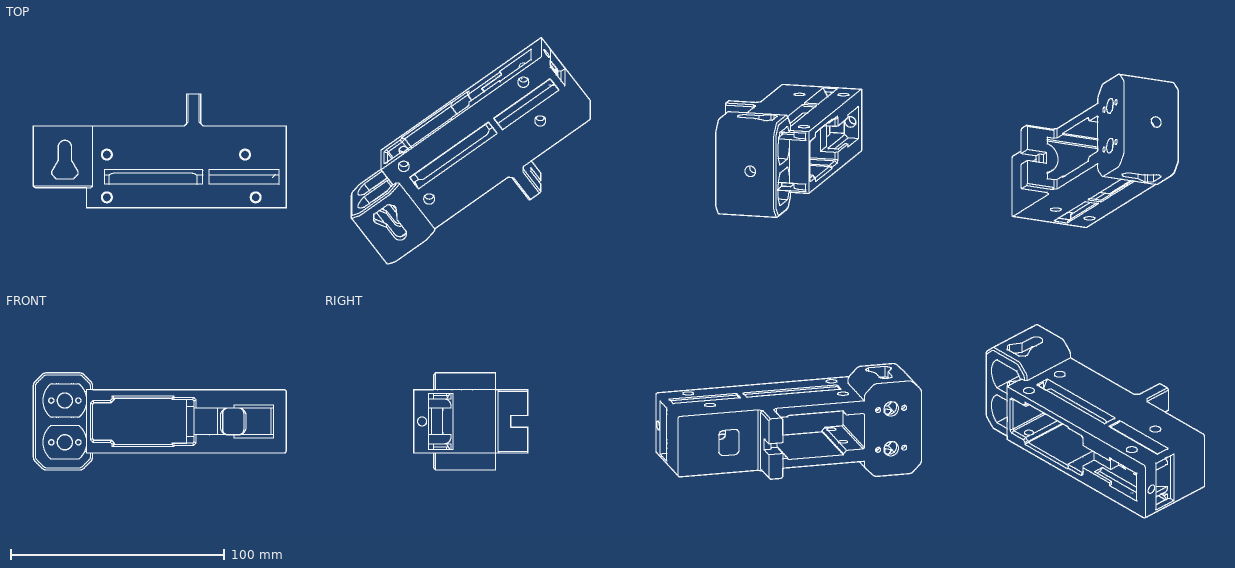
import cadquery as cq
import math


length = 118.8
body_left = 24.9
body_depth = 38.5
body_height = 29.8
body_half = body_height / 2
end_round = 1.1
housing_width = 27.9
housing_height = 45.7
housing_depth = 29.1
housing_corner = 5.0
housing_corner_round = 3.0
housing_rim_inset = 0.8
housing_rim_depth = 1.1

cell_x = 14.8
cell_radius = 20.5 / 2
cell_height = 15.7
cell_gap = 3.9
cell_z = (cell_height + cell_gap) / 2
cell_floor = 3.0
terminal_diameter = 7.0
pin_diameter = 2.4
pin_spacing = 12.7
keyhole_radius = 3.1
keyhole_top = -6.8
keyhole_neck = -16.2
keyhole_head = 6.0
keyhole_shoulder = -21.3
keyhole_heel = -22.7
keyhole_foot = 4.0
keyhole_bottom = -24.8

insert_mouth_radius = 5.1 / 2
insert_tip_radius = 4.2 / 2
insert_depth = 6.6
insert_places = [(34.5, -13.4), (34.5, -33.5), (99.4, -13.4), (104.4, -33.5)]
side_hole_y = -16.9
lip_hole_y = -34.5

tang_left = 71.8
tang_right = 78.7
tang_reach = 15.1
tang_edge = 0.8
tang_flare = 1.1
tang_notch = 5.3
tang_notch_start = 7.1
tang_step_start = 5.0
boss_radius = 7.2
boss_y = 6.3

opening_left = 27.9
opening_right = 75.4
left_half = 17.5 / 2
middle_half = 10.8
right_half = 10.2
middle_start = 38.1
middle_end = 65.1
opening_bevel = 1.5
opening_corner = 0.6
mouth_chamfer = 1.1
opening_back = 4.6

ledge_y = -30.2
pocket_left = 86.6
pocket_right = 112.7
pocket_half = 12.5 / 2
pocket_back = -24.9
mouth_left = 94.3
groove_left = 82.6
groove_half = 7.7
groove_back = -31.8
groove_ramp = 1.7
front_lip = 1.5
back_hole_left = 89.0
back_hole_right = 98.8
back_hole_round = 2.4
back_hole_chamfer = 1.1

web_end = 115.4
window_back = -20.4
window_front = -27.3
window_spans = [(33.5, 79.5), (82.5, web_end)]
window_lean = math.radians(31)
channel_left = 24.2
channel_lid = 0.8
channel_height = 3.6
channel_roof = body_half - channel_lid
channel_floor = channel_roof - channel_height
channel_front = -29.1
entry_front = front_lip - body_depth
entry_back = -23.0
entry_wall = 28.5
entry_round = 4.9
saddle_left = 38.4
saddle_right = 74.0
saddle_top = 12.1
saddle_round = 3.0
web_round = 3.1
exit_start = 111.5
exit_flare = 5.0
exit_front = -31.5
exit_half = 13.1


def box(x0, x1, y0, y1, z0, z1):
    return cq.Workplane("XY").box(x1 - x0, y1 - y0, z1 - z0, centered=False).translate((x0, y0, z0))


def front_plane(y):
    """Plane at depth y for outlines drawn in X and Z."""
    return cq.Workplane("XZ", origin=(0, y, 0))


def extrude_back(outline, depth):
    """Extrude an XZ outline toward +Y."""
    return outline.extrude(-depth)


def both_sides(shape):
    """The shape together with its mirror image below Z = 0."""
    return shape.union(shape.mirror("XY"))


def tapered_hole(base, direction):
    """Cone frustum for a heat-set insert, entering at base along direction."""
    cone = cq.Solid.makeCone(
        insert_mouth_radius, insert_tip_radius, insert_depth, cq.Vector(*base), cq.Vector(*direction)
    )
    return cq.Workplane(obj=cone)


def make_housing():
    block = box(0, housing_width, -housing_depth, 0, -housing_height / 2, housing_height / 2)
    block = block.edges("|Y").chamfer(housing_corner)
    block = block.edges("|Y").fillet(housing_corner_round)
    return block.faces("<Y").chamfer(housing_rim_depth, housing_rim_inset)


def make_body():
    block = box(body_left, length, -body_depth, 0, -body_half, body_half)
    return block.edges("|Y and >X").fillet(end_round)


def make_tang():
    tang = box(tang_left, tang_right, 0, tang_reach, -body_half, body_half)
    tang = tang.edges("|Y").chamfer(tang_edge)
    flare = (
        cq.Workplane("XY", origin=(0, 0, -body_half))
        .polyline([
            (tang_left - tang_flare, 0),
            (tang_left + tang_edge, tang_flare + tang_edge),
            (tang_right - tang_edge, tang_flare + tang_edge),
            (tang_right + tang_flare, 0),
        ])
        .close()
        .extrude(body_height)
    )
    half_notch = tang_notch / 2
    notch = box(tang_left, tang_right, tang_notch_start, tang_reach, -half_notch, half_notch)
    step = box(tang_left, opening_right, tang_step_start, tang_notch_start, -half_notch, half_notch)
    return tang.union(flare).cut(notch).cut(step)


def cell_cuts():
    """Flat-sided round cell bays with a terminal hole and two pin holes through the floor."""
    bay_depth = housing_depth - cell_floor
    bay = extrude_back(front_plane(-housing_depth).center(cell_x, cell_z).circle(cell_radius), bay_depth)
    bay = bay.intersect(
        box(0, 2 * cell_x, -housing_depth, 0, cell_z - cell_height / 2, cell_z + cell_height / 2)
    )
    floor = front_plane(-housing_depth).center(cell_x, cell_z)
    terminal = extrude_back(floor.circle(terminal_diameter / 2), housing_depth)
    pins = extrude_back(
        floor.pushPoints([(-pin_spacing / 2, 0), (pin_spacing / 2, 0)]).circle(pin_diameter / 2),
        housing_depth,
    )
    return both_sides(bay.union(terminal).union(pins))


def keyhole_cut():
    arc_y = keyhole_top - keyhole_radius
    return (
        cq.Workplane("XY", origin=(cell_x, 0, -housing_height / 2))
        .moveTo(-keyhole_radius, arc_y)
        .threePointArc((0, keyhole_top), (keyhole_radius, arc_y))
        .lineTo(keyhole_radius, keyhole_neck)
        .lineTo(keyhole_head, keyhole_shoulder)
        .lineTo(keyhole_head, keyhole_heel)
        .lineTo(keyhole_foot, keyhole_bottom)
        .lineTo(-keyhole_foot, keyhole_bottom)
        .lineTo(-keyhole_head, keyhole_heel)
        .lineTo(-keyhole_head, keyhole_shoulder)
        .lineTo(-keyhole_radius, keyhole_neck)
        .close()
        .extrude(housing_height)
    )


def main_opening_cut():
    """Stepped opening with a chamfered mouth, stopping at a round boss on the tang."""
    upper = [
        (opening_left, left_half - opening_corner),
        (opening_left + opening_corner, left_half),
        (middle_start - opening_bevel, left_half),
        (middle_start, left_half + opening_bevel),
        (middle_start, middle_half),
        (middle_end, middle_half),
        (middle_end, right_half),
        (opening_right - opening_corner, right_half),
        (opening_right, right_half - opening_corner),
    ]
    lower = [(x, -z) for x, z in reversed(upper)]
    outline = front_plane(-body_depth).polyline(upper + lower).close()
    opening = extrude_back(outline, body_depth + opening_back)
    mouth = (
        front_plane(-body_depth)
        .polyline(upper + lower)
        .close()
        .offset2D(mouth_chamfer, "intersection")
        .extrude(-mouth_chamfer, taper=45)
    )
    boss = (
        cq.Workplane("YZ", origin=(tang_left, 0, 0))
        .center(boss_y, 0)
        .circle(boss_radius)
        .extrude(tang_right - tang_left)
    )
    return opening.cut(boss).union(mouth)


def pocket_cut():
    """Pocket right of the opening, with a ramped groove behind its front lip and a hole in its back."""
    front = -body_depth
    ledge = box(opening_right, pocket_left, front, ledge_y, -pocket_half, pocket_half)
    pocket = box(pocket_left, pocket_right, front, pocket_back, -pocket_half, pocket_half)
    groove = (
        cq.Workplane("YZ", origin=(groove_left, 0, 0))
        .polyline([
            (front + front_lip, 0),
            (front + front_lip, groove_half),
            (groove_back - groove_ramp, groove_half),
            (groove_back, pocket_half),
            (groove_back, 0),
        ])
        .close()
        .extrude(pocket_right - groove_left)
    )
    mouth = box(mouth_left, pocket_right, front, front + front_lip, -groove_half, groove_half)
    hole_width = back_hole_right - back_hole_left
    hole_x = (back_hole_left + back_hole_right) / 2
    hole = box(back_hole_left, back_hole_right, pocket_back, 0, -pocket_half, pocket_half)
    hole = hole.edges("|Y").fillet(back_hole_round)
    countersink = (
        front_plane(pocket_back)
        .center(hole_x, 0)
        .placeSketch(
            cq.Sketch()
            .rect(hole_width + 2 * back_hole_chamfer, 2 * pocket_half)
            .vertices()
            .fillet(back_hole_round + back_hole_chamfer)
        )
        .extrude(-back_hole_chamfer, taper=45)
    )
    return ledge.union(pocket).union(both_sides(groove)).union(mouth).union(hole).union(countersink)


def slanted_back(y_front, x0, x1, z_top):
    """Slab from the channel floor to z_top whose back wall leans toward the front as it goes down."""
    def back_y(z):
        return window_back - (body_half - z) * math.tan(window_lean)

    return (
        cq.Workplane("YZ", origin=(x0, 0, 0))
        .polyline([
            (y_front, channel_floor),
            (back_y(channel_floor), channel_floor),
            (back_y(z_top), z_top),
            (y_front, z_top),
        ])
        .close()
        .extrude(x1 - x0)
    )


def strap_saddle():
    """Raised, round-shouldered stretch of the channel floor over the main opening."""
    shoulder_run = saddle_round * math.sin(math.pi / 4)
    shoulder_z = saddle_top - saddle_round + shoulder_run
    foot_run = shoulder_run + shoulder_z - channel_floor
    outline = (
        front_plane(channel_front)
        .moveTo(saddle_left - foot_run, channel_floor)
        .lineTo(saddle_left - shoulder_run, shoulder_z)
        .radiusArc((saddle_left, saddle_top), saddle_round)
        .lineTo(saddle_right, saddle_top)
        .radiusArc((saddle_right + shoulder_run, shoulder_z), saddle_round)
        .lineTo(saddle_right + foot_run, channel_floor)
        .close()
    )
    return extrude_back(outline, window_back - channel_front)


def channel_cut():
    """Strap channel under the top face: its windows, its flared entry on the left and its run along X."""
    run = slanted_back(channel_front, window_spans[0][0], web_end, channel_roof).cut(strap_saddle())
    for x0, x1 in window_spans:
        run = run.union(slanted_back(window_front, x0, x1, body_half).cut(strap_saddle()))
    entry = (
        cq.Workplane("XY", origin=(0, 0, channel_floor))
        .moveTo(body_left, entry_front)
        .lineTo(entry_wall, entry_front)
        .lineTo(entry_wall, channel_front - entry_round)
        .radiusArc((entry_wall + entry_round, channel_front), entry_round)
        .lineTo(window_spans[0][0], channel_front)
        .lineTo(window_spans[0][0], entry_back)
        .lineTo(channel_left, entry_back)
        .lineTo(channel_left, channel_front)
        .lineTo(body_left, channel_front)
        .close()
        .extrude(channel_height)
    )
    return both_sides(run.union(entry))


def strap_exit_cut():
    """Slot through the right end joining pocket and channels, leaving round-ended webs between them."""
    slot = (
        cq.Workplane("XY", origin=(0, 0, -exit_half))
        .moveTo(exit_start, exit_front)
        .lineTo(length, exit_front)
        .lineTo(length, pocket_back + exit_flare)
        .lineTo(exit_start + exit_flare, pocket_back + exit_flare)
        .lineTo(exit_start, pocket_back)
        .close()
        .extrude(2 * exit_half)
    )
    cover = box(exit_start, web_end, -body_depth, 0, channel_floor, body_half)
    web = box(exit_start, web_end, -body_depth, 0, pocket_half, channel_floor)
    web = web.edges("|Y and >X and >Z").fillet(web_round)
    return slot.cut(both_sides(web)).cut(both_sides(cover))


def insert_cuts():
    cuts = tapered_hole((0, side_hole_y, 0), (1, 0, 0))
    cuts = cuts.union(tapered_hole((pocket_right, lip_hole_y, 0), (1, 0, 0)))
    for x, y in insert_places:
        cuts = cuts.union(both_sides(tapered_hole((x, y, body_half), (0, 0, -1))))
    return cuts


result = make_housing().union(make_body()).union(make_tang())
for cut in (
    cell_cuts(),
    keyhole_cut(),
    main_opening_cut(),
    pocket_cut(),
    channel_cut(),
    strap_exit_cut(),
    insert_cuts(),
):
    result = result.cut(cut)